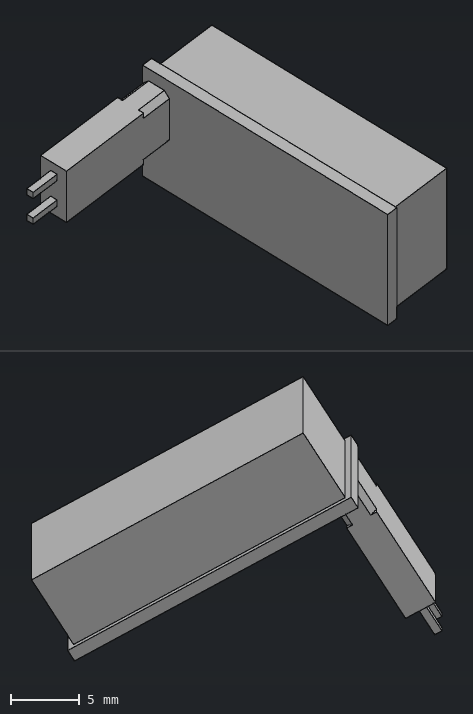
import cadquery as cq

plate_width = 24.0
plate_height = 11.0
plate_thickness = 0.98

rim = 0.5
block_depth = 6.0
block_width = plate_width - 2 * rim
block_height = plate_height - 2 * rim

pitch = 2.55
pin_count = 2
connector_width = pitch
connector_height = pin_count * pitch
connector_length = 11.2
connector_side_inset = 0.1
connector_top_inset = 1.2
corner_chamfer = 0.5
chamfer_length = 2.8

pin_size = 0.62
pin_length = 2.62
pin_shift_x = 0.05
pin_shift_z = 0.1

connector_x = -plate_width / 2 + connector_side_inset + connector_width / 2
connector_z = plate_height / 2 - connector_top_inset - connector_height / 2
connector_end_y = -connector_length


def box_along_y(width, height, y_start, y_end, x=0.0, z=0.0):
    """Box centred on (x, z) that runs from y_start up to y_end."""
    length = y_end - y_start
    return cq.Workplane("XY").box(width, length, height).translate((x, y_start + length / 2, z))


def make_housing():
    """Block and plate in one piece."""
    plate = box_along_y(plate_width, plate_height, 0, plate_thickness)
    block = box_along_y(block_width, block_height, plate_thickness, plate_thickness + block_depth)
    return plate.union(block)


def make_connector():
    """Connector with chamfered corners next to the plate and pins at its free end."""
    base = box_along_y(connector_width, connector_height, -chamfer_length, 0, connector_x, connector_z)
    base = base.edges("|Y").chamfer(corner_chamfer)
    shaft = box_along_y(
        connector_width, connector_height, connector_end_y, -chamfer_length, connector_x, connector_z
    )
    connector = base.union(shaft)

    pin_x = connector_x + pin_shift_x
    lowest_pin_z = connector_z + pin_shift_z - (pin_count - 1) * pitch / 2
    for index in range(pin_count):
        pin_z = lowest_pin_z + index * pitch
        pin = box_along_y(
            pin_size, pin_size, connector_end_y - pin_length, connector_end_y, pin_x, pin_z
        )
        connector = connector.union(pin)
    return connector


housing = make_housing()
connector = make_connector()

result = cq.Compound.makeCompound([housing.val(), connector.val()])